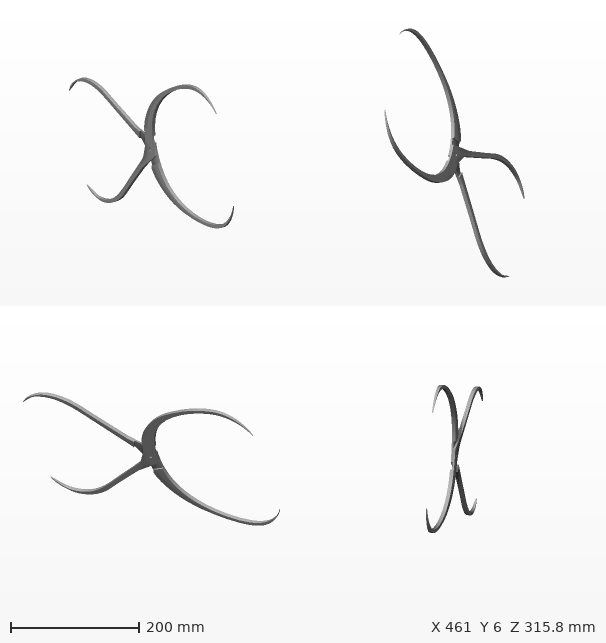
import cadquery as cq
import math

THICKNESS = 6.0
TIP_THICKNESS = 2.0
PIVOT_DIAMETER = 5.0
OPENING_ANGLE = 38.1

JAW_TIP = (230.5, 1.0)
HANDLE_TIP = (-230.5, 1.0)
LAP_CORNER = (8.8, 14.0)
HANDLE_ROOT = (-43.0, 20.0)

HANDLE_UPPER_EDGE = [
    (-69.0, 26.3), (-96.5, 33.5), (-130.0, 43.5), (-155.0, 46.5),
    (-179.5, 44.0), (-196.5, 38.0), (-213.5, 25.5), (-223.5, 14.5),
]
LOWER_EDGE = [
    (-222.0, 12.0), (-213.0, 23.0), (-196.5, 33.0), (-179.5, 38.2),
    (-155.0, 39.5), (-130.0, 35.5), (-96.5, 26.0), (-61.7, 15.5),
    (-42.5, 10.0), (-27.0, 4.5), (-18.0, -2.8), (-7.5, -12.0),
    (2.5, -28.5), (20.5, -47.0), (53.5, -63.0), (78.5, -68.5),
    (111.5, -70.0), (137.0, -68.5), (178.5, -60.5), (202.0, -49.5),
    (216.0, -35.5), (225.5, -19.5),
]
JAW_INNER_EDGE = [
    (225.0, -16.5), (212.0, -34.5), (196.0, -47.0), (176.5, -55.5),
    (148.0, -61.7), (121.5, -63.5), (96.8, -62.0), (64.5, -54.0),
    (41.5, -40.5), (28.5, -27.0), (19.0, -12.5), (13.0, 0.5),
]

HANDLE_SHOULDER_X = -30.0
JAW_SHOULDER = [(5.0, -37.0), (5.0, -26.3), (27.5, -11.5)]
LAP_TOP_Z = 23.0
LAP_LOWER_CORNER_Z = 0.0

JAW_TAPER_Z = -60.0
JAW_TAPER_X = 156.5
HANDLE_TAPER_Z = 30.0
HANDLE_TAPER_X = -193.5
CLEARANCE = 4.5


def lever_blank():
    """Flat lever of full thickness, centred on the XZ plane."""
    return (
        cq.Workplane("XZ", origin=(0, THICKNESS / 2, 0))
        .moveTo(*LAP_CORNER)
        .lineTo(*HANDLE_ROOT)
        .spline(HANDLE_UPPER_EDGE + [HANDLE_TIP], includeCurrent=True)
        .spline(LOWER_EDGE + [JAW_TIP], includeCurrent=True)
        .spline(JAW_INNER_EDGE + [LAP_CORNER], includeCurrent=True)
        .close()
        .extrude(THICKNESS)
    )


def lap_recess():
    """Front half of the thickness between the two shoulders."""
    outline = [
        (HANDLE_SHOULDER_X, LAP_TOP_Z),
        (HANDLE_SHOULDER_X, LAP_LOWER_CORNER_Z),
        *JAW_SHOULDER,
        (JAW_SHOULDER[-1][0], LAP_TOP_Z),
    ]
    return cq.Workplane("XZ").polyline(outline).close().extrude(THICKNESS)


def pivot_hole():
    return cq.Workplane("XZ").circle(PIVOT_DIAMETER / 2).extrude(THICKNESS, both=True)


def tip_taper(start_x, start_z, tip):
    """Pair of wedges that thin one end of the lever towards its tip."""
    tip_x, tip_z = tip
    end_x = tip_x + math.copysign(CLEARANCE, tip_x)
    end_z = tip_z + math.copysign(CLEARANCE, tip_z - start_z)
    slope = (THICKNESS - TIP_THICKNESS) / 2 / (tip_z - start_z)
    end_depth = slope * (end_z - start_z)
    face = THICKNESS / 2
    wedge = (
        cq.Workplane("YZ", origin=(start_x, 0, 0))
        .polyline([(face, start_z), (face, end_z), (face - end_depth, end_z)])
        .close()
        .extrude(end_x - start_x)
    )
    return wedge.union(wedge.mirror("XZ"))


def lever():
    return (
        lever_blank()
        .cut(lap_recess())
        .cut(pivot_hole())
        .cut(tip_taper(JAW_TAPER_X, JAW_TAPER_Z, JAW_TIP))
        .cut(tip_taper(HANDLE_TAPER_X, HANDLE_TAPER_Z, HANDLE_TIP))
    )


half_angle = math.radians(OPENING_ANGLE / 2)
turning_axis = (math.cos(half_angle), 0, math.sin(half_angle))

levers = []
for turn in (0, 180):
    levers.append(lever().rotate((0, 0, 0), turning_axis, turn).solids().val())

result = cq.Compound.makeCompound(levers)